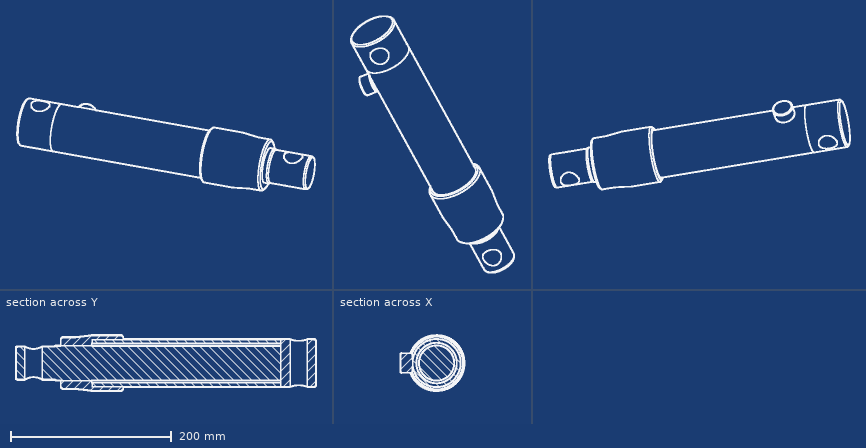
import cadquery as cq

OVERALL_LENGTH = 374.0
OVERALL_WIDTH = 80.0
BARREL_DIAMETER = 60.2
BARREL_RADIUS = BARREL_DIAMETER / 2
BASE_LENGTH = 44.0
GLAND_START = 240.0
GLAND_END = 318.3

PIN_HOLE_DIAMETER = 23.2
BASE_PIN_X = 21.7
ROD_PIN_X = 352.0

BORE_RADIUS = 25.0
BASE_CHAMFER = 2.0

GLAND_DIAMETER = 70.0
GLAND_NOSE_DIAMETER = 65.0
GLAND_RADIUS = GLAND_DIAMETER / 2
GLAND_NOSE_RADIUS = GLAND_NOSE_DIAMETER / 2
GLAND_CHAMFER = 2.2
TAPER_START = 279.5
TAPER_END = 300.5

ROD_EYE_DIAMETER = 42.3
ROD_RADIUS = 22.0
ROD_EYE_RADIUS = ROD_EYE_DIAMETER / 2
ROD_SHOULDER_END = 324.0
ROD_STEP_END = 326.0
ROD_CHAMFER_LENGTH = 2.2
ROD_CHAMFER_DEPTH = 1.0

PORT_DIAMETER = 25.0
PORT_X = 69.2
PORT_TOP_Y = OVERALL_WIDTH - GLAND_RADIUS
PORT_CHAMFER = 1.0


def cylinder_x(start, end, radius):
    """Solid cylinder along X between two stations."""
    return cq.Workplane("YZ", origin=(start, 0, 0)).circle(radius).extrude(end - start)


def pin_hole(x):
    """Vertical cutter that passes right through the barrel."""
    return (
        cq.Workplane("XY", origin=(x, 0, 0))
        .circle(PIN_HOLE_DIAMETER / 2)
        .extrude(BARREL_RADIUS * 2, both=True)
    )


def make_base():
    """Solid plug that closes the rear of the barrel."""
    plug = cylinder_x(0, BASE_LENGTH, BARREL_RADIUS)
    return plug.faces("<X").chamfer(BASE_CHAMFER).cut(pin_hole(BASE_PIN_X))


def make_barrel():
    """Tube from the base plug to the shoulder inside the gland."""
    tube = cylinder_x(BASE_LENGTH, TAPER_START, BARREL_RADIUS)
    return tube.cut(cylinder_x(BASE_LENGTH, TAPER_START, BORE_RADIUS))


def make_gland():
    """Collar over the barrel end, tapering down to a nose that guides the rod."""
    profile = (
        cq.Workplane("XY")
        .moveTo(GLAND_START, 0)
        .lineTo(GLAND_START, GLAND_RADIUS - GLAND_CHAMFER)
        .lineTo(GLAND_START + GLAND_CHAMFER, GLAND_RADIUS)
        .lineTo(TAPER_START, GLAND_RADIUS)
        .lineTo(TAPER_END, GLAND_NOSE_RADIUS)
        .lineTo(GLAND_END - GLAND_CHAMFER, GLAND_NOSE_RADIUS)
        .lineTo(GLAND_END, GLAND_NOSE_RADIUS - GLAND_CHAMFER)
        .lineTo(GLAND_END, 0)
        .close()
    )
    body = profile.revolve(360, (0, 0, 0), (1, 0, 0))
    barrel_socket = cylinder_x(GLAND_START, TAPER_START, BARREL_RADIUS)
    rod_bore = cylinder_x(GLAND_START, GLAND_END, ROD_RADIUS)
    return body.cut(barrel_socket).cut(rod_bore)


def make_rod():
    """Piston rod with a reduced, cross-drilled eye at its front end."""
    profile = (
        cq.Workplane("XY")
        .moveTo(BASE_LENGTH, 0)
        .lineTo(BASE_LENGTH, ROD_RADIUS)
        .lineTo(ROD_SHOULDER_END, ROD_RADIUS)
        .lineTo(ROD_STEP_END, ROD_EYE_RADIUS)
        .lineTo(OVERALL_LENGTH - ROD_CHAMFER_LENGTH, ROD_EYE_RADIUS)
        .lineTo(OVERALL_LENGTH, ROD_EYE_RADIUS - ROD_CHAMFER_DEPTH)
        .lineTo(OVERALL_LENGTH, 0)
        .close()
    )
    return profile.revolve(360, (0, 0, 0), (1, 0, 0)).cut(pin_hole(ROD_PIN_X))


def make_port():
    """Round port boss that rests on the barrel, chamfered at both ends."""
    boss = (
        cq.Workplane("XZ", origin=(PORT_X, BARREL_RADIUS, 0))
        .circle(PORT_DIAMETER / 2)
        .extrude(BARREL_RADIUS - PORT_TOP_Y)
    )
    return boss.faces("<Y or >Y").chamfer(PORT_CHAMFER)


base = make_base()
barrel = make_barrel()
gland = make_gland()
rod = make_rod()
port = make_port()

result = cq.Compound.makeCompound([base.val(), barrel.val(), gland.val(), rod.val(), port.val()])